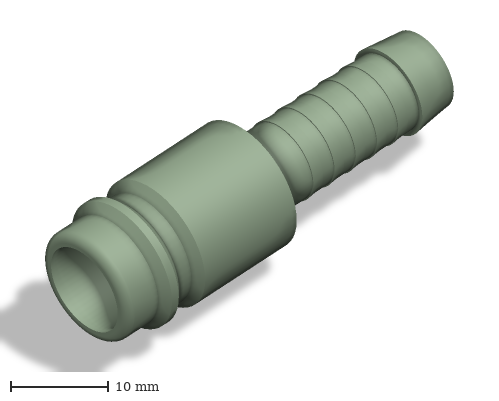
import cadquery as cq

total_length = 48.0
collar_start = 4.3
groove_start = 7.3
groove_end = 9.0
shoulder_y = 23.0
first_barb_y = 28.0
head_barb_y = 43.0

body_radius = 7.5
nose_radius = 6.5
stem_radius = 4.55
barb_radius = 4.7
head_barb_radius = 5.15
bore_radius = 3.55
socket_radius = 5.0

edge_bevel = body_radius - nose_radius
nose_fillet = 1.0
barb_count = 5
barb_pitch = (head_barb_y - first_barb_y) / barb_count
barb_length = barb_pitch / 2
floor_thickness = body_radius - socket_radius
socket_depth = shoulder_y - floor_thickness


def revolve_about_y(profile):
    """Revolve a closed half profile about the Y axis."""
    return profile.close().revolve(360, (0, 0, 0), (0, 1, 0))


def cylinder(radius, start, end):
    """Solid round bar along Y."""
    return revolve_about_y(
        cq.Workplane("XY").moveTo(0, start).lineTo(radius, start).lineTo(radius, end).lineTo(0, end)
    )


def barb(base_radius, start, length):
    """Cone with a sharp step at its base, tapering to the stem toward +Y."""
    return revolve_about_y(
        cq.Workplane("XY")
        .moveTo(0, start)
        .lineTo(base_radius, start)
        .lineTo(stem_radius, start + length)
        .lineTo(0, start + length)
    )


nose = cylinder(nose_radius, 0, groove_end).faces("<Y").edges().fillet(nose_fillet)

collar = cylinder(body_radius, collar_start, groove_start).edges().chamfer(edge_bevel)
body = cylinder(body_radius, groove_end, shoulder_y).faces("<Y").edges().chamfer(edge_bevel)

stem = cylinder(stem_radius, shoulder_y, total_length)
for index in range(barb_count):
    stem = stem.union(barb(barb_radius, first_barb_y + index * barb_pitch, barb_length))
stem = stem.union(barb(head_barb_radius, head_barb_y, total_length - head_barb_y))

socket = cylinder(socket_radius, 0, socket_depth)
bore = cylinder(bore_radius, 0, total_length)

result = nose.union(collar).union(body).union(stem).cut(socket).cut(bore)